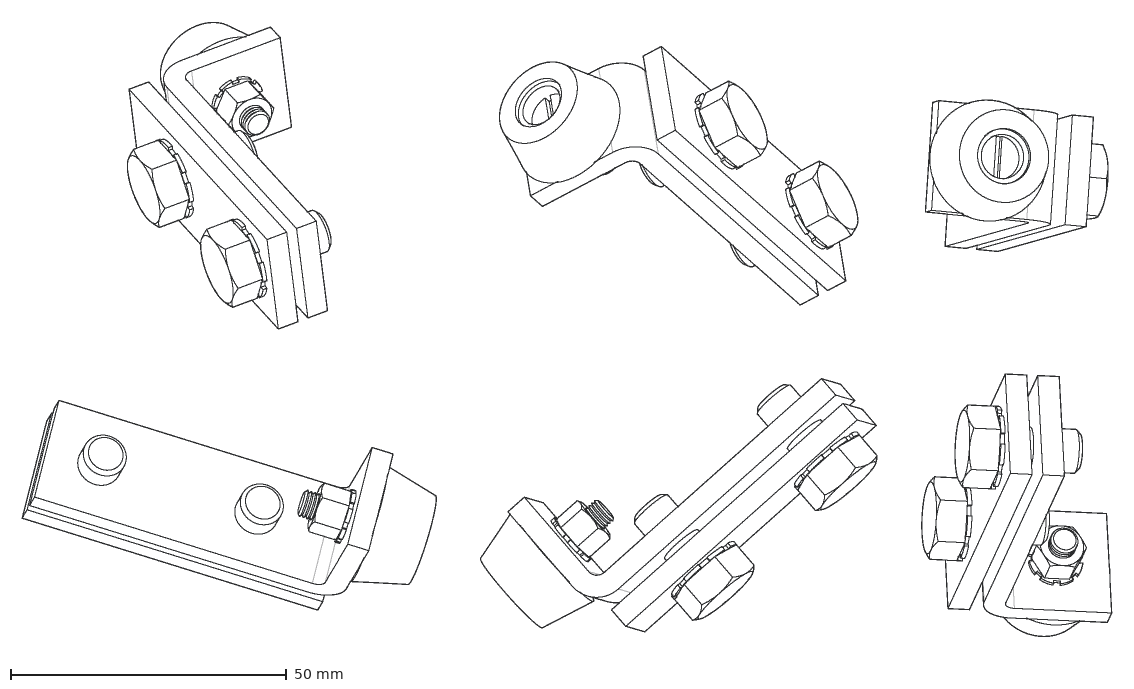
import cadquery as cq
import math

TILT = 13.1

STRIP_WIDTH = 20.05
STRIP_THICKNESS = 4.0
ARM_LENGTH = 59.05
LEG_LENGTH = 24.05
BEND_INNER_RADIUS = 2.0
BEND_OUTER_RADIUS = BEND_INNER_RADIUS + STRIP_THICKNESS
PLATE_GAP = 2.0
PLATE_START = 2.6
PLATE_OUTER_Y = -PLATE_GAP - STRIP_THICKNESS

BOLT_DIAMETER = 8.0
BOLT_PITCH = 30.0
BOLT_END_DISTANCE = 10.0
BOLT_LENGTH = 16.05
BOLT_TIP_CHAMFER = 0.8
BOLT_HEAD_FLATS = 13.0
BOLT_HEAD_HEIGHT = 5.6
BOLT_WASHER_DIAMETER = 15.0
BOLT_WASHER_ROOT_DIAMETER = 13.45
BOLT_NOTCH_WIDTH = 2.0
BOLT_XS = [ARM_LENGTH - BOLT_END_DISTANCE - BOLT_PITCH, ARM_LENGTH - BOLT_END_DISTANCE]

BUMPER_Y = 14.0
BUMPER_LENGTH = 10.2
BUMPER_BASE_DIAMETER = 22.05
BUMPER_TIP_DIAMETER = 16.9
BUMPER_MOUTH_DIAMETER = 10.0
BUMPER_MOUTH_DEPTH = 1.0

SCREW_DIAMETER = 5.0
SCREW_HEAD_DIAMETER = 8.0
SCREW_HEAD_HEIGHT = 3.3
SCREW_HEAD_DEPTH = 4.0
SCREW_END_X = 12.8
SCREW_TIP_CHAMFER = 0.4
SLOT_WIDTH = 1.1
SLOT_DEPTH = 1.3
THREAD_PITCH = 0.7
THREAD_RINGS = 3
THREAD_DEPTH = 0.4
NUT_FLATS = 8.0
NUT_HEIGHT = 5.45
NUT_WASHER_DIAMETER = 10.0
NUT_WASHER_ROOT_DIAMETER = 8.9
NUT_NOTCH_WIDTH = 1.3

WASHER_THICKNESS = 0.8
WASHER_NOTCHES = 8

HEX_CHAMFER_ANGLE = 30.0

SCREW_HEAD_X = SCREW_HEAD_DEPTH - BUMPER_LENGTH
SCREW_SEAT_X = SCREW_HEAD_X + SCREW_HEAD_HEIGHT
NUT_SEAT_X = STRIP_THICKNESS + WASHER_THICKNESS


def bolt_plane(x, y):
    """Plane on a bolt axis, its normal pointing out through the head (-Y)."""
    return cq.Plane(origin=(x, y, 0), xDir=(1, 0, 0), normal=(0, -1, 0))


def screw_plane(x):
    """Plane on the bumper axis, its normal pointing toward the nut (+X)."""
    return cq.Plane(origin=(x, BUMPER_Y, 0), xDir=(0, 1, 0), normal=(1, 0, 0))


def rod(plane, diameter, length):
    return cq.Workplane(plane).circle(diameter / 2).extrude(length)


def placed(body, plane):
    """Move a body built upright at the origin onto a plane."""
    return cq.Workplane(body.val().moved(plane.location))


def hexagon(flats, height):
    """Upright hexagonal prism whose top corners are cut back by a cone."""
    corner_diameter = flats / math.cos(math.radians(30))
    corner_cut = (corner_diameter - flats) / 2
    corner_drop = corner_cut * math.tan(math.radians(HEX_CHAMFER_ANGLE))
    envelope = (
        cq.Workplane("XY")
        .circle(corner_diameter / 2)
        .extrude(height)
        .faces(">Z")
        .chamfer(corner_drop, corner_cut)
    )
    return cq.Workplane("XY").polygon(6, corner_diameter).extrude(height).intersect(envelope)


def toothed_washer(diameter, root_diameter, hole_diameter, notch_width, turn):
    """Upright washer with notches round its rim, the first one turned from local X."""
    washer = cq.Workplane("XY").circle(diameter / 2).circle(hole_diameter / 2).extrude(WASHER_THICKNESS)
    notch_reach = diameter - root_diameter
    for index in range(WASHER_NOTCHES):
        notch = (
            cq.Workplane("XY")
            .center(root_diameter / 2, 0)
            .rect(notch_reach, notch_width, centered=(False, True))
            .extrude(WASHER_THICKNESS)
            .rotate((0, 0, 0), (0, 0, 1), turn + index * 360 / WASHER_NOTCHES)
        )
        washer = washer.cut(notch)
    return washer


def make_bracket():
    bracket = (
        cq.Workplane("XY")
        .moveTo(0, LEG_LENGTH)
        .lineTo(0, BEND_OUTER_RADIUS)
        .radiusArc((BEND_OUTER_RADIUS, 0), -BEND_OUTER_RADIUS)
        .lineTo(ARM_LENGTH, 0)
        .lineTo(ARM_LENGTH, STRIP_THICKNESS)
        .lineTo(BEND_OUTER_RADIUS, STRIP_THICKNESS)
        .radiusArc((STRIP_THICKNESS, BEND_OUTER_RADIUS), BEND_INNER_RADIUS)
        .lineTo(STRIP_THICKNESS, LEG_LENGTH)
        .close()
        .extrude(STRIP_WIDTH / 2, both=True)
    )
    bracket = bracket.cut(rod(screw_plane(0), SCREW_DIAMETER, STRIP_THICKNESS))
    for x in BOLT_XS:
        bracket = bracket.cut(rod(bolt_plane(x, STRIP_THICKNESS), BOLT_DIAMETER, STRIP_THICKNESS))
    return bracket


def make_plate():
    plate = cq.Workplane("XY").box(
        ARM_LENGTH - PLATE_START, STRIP_THICKNESS, STRIP_WIDTH, centered=(False, False, True)
    )
    plate = plate.translate((PLATE_START, PLATE_OUTER_Y, 0))
    for x in BOLT_XS:
        plate = plate.cut(rod(bolt_plane(x, -PLATE_GAP), BOLT_DIAMETER, STRIP_THICKNESS))
    return plate


def make_bolt(x):
    seat_y = PLATE_OUTER_Y - WASHER_THICKNESS
    shank = (
        cq.Workplane("XY")
        .circle(BOLT_DIAMETER / 2)
        .extrude(-BOLT_LENGTH)
        .faces("<Z")
        .chamfer(BOLT_TIP_CHAMFER)
    )
    bolt = hexagon(BOLT_HEAD_FLATS, BOLT_HEAD_HEIGHT).union(shank)
    return placed(bolt, bolt_plane(x, seat_y))


def make_bolt_washer(x):
    washer = toothed_washer(
        BOLT_WASHER_DIAMETER, BOLT_WASHER_ROOT_DIAMETER, BOLT_DIAMETER, BOLT_NOTCH_WIDTH, -TILT
    )
    return placed(washer, bolt_plane(x, PLATE_OUTER_Y))


def make_bumper():
    """Cone revolved about its own axis, with a stepped bore for the screw."""
    return (
        cq.Workplane("XZ", origin=(0, BUMPER_Y, 0))
        .moveTo(-BUMPER_LENGTH, BUMPER_TIP_DIAMETER / 2)
        .lineTo(0, BUMPER_BASE_DIAMETER / 2)
        .lineTo(0, SCREW_DIAMETER / 2)
        .lineTo(SCREW_SEAT_X, SCREW_DIAMETER / 2)
        .lineTo(SCREW_SEAT_X, SCREW_HEAD_DIAMETER / 2)
        .lineTo(BUMPER_MOUTH_DEPTH - BUMPER_LENGTH, SCREW_HEAD_DIAMETER / 2)
        .lineTo(BUMPER_MOUTH_DEPTH - BUMPER_LENGTH, BUMPER_MOUTH_DIAMETER / 2)
        .lineTo(-BUMPER_LENGTH, BUMPER_MOUTH_DIAMETER / 2)
        .close()
        .revolve(360, (0, 0), (1, 0))
    )


def thread_groove(x):
    """V-shaped ring groove, one pitch wide, starting at x on the screw."""
    radius = SCREW_DIAMETER / 2
    return (
        cq.Workplane("XZ", origin=(0, BUMPER_Y, 0))
        .moveTo(x, radius)
        .lineTo(x + THREAD_PITCH / 2, radius - THREAD_DEPTH)
        .lineTo(x + THREAD_PITCH, radius)
        .close()
        .revolve(360, (0, 0), (1, 0))
    )


def make_screw():
    head = rod(screw_plane(SCREW_HEAD_X), SCREW_HEAD_DIAMETER, SCREW_HEAD_HEIGHT)
    slot = (
        cq.Workplane(screw_plane(SCREW_HEAD_X))
        .rect(SLOT_WIDTH, SCREW_HEAD_DIAMETER)
        .extrude(SLOT_DEPTH)
    )
    shank = (
        rod(screw_plane(SCREW_SEAT_X), SCREW_DIAMETER, SCREW_END_X - SCREW_SEAT_X)
        .faces(">X")
        .chamfer(SCREW_TIP_CHAMFER)
    )
    screw = head.cut(slot).union(shank)
    thread_end_x = SCREW_END_X - SCREW_TIP_CHAMFER
    for ring in range(1, THREAD_RINGS + 1):
        screw = screw.cut(thread_groove(thread_end_x - ring * THREAD_PITCH))
    return screw


def make_nut_washer():
    washer = toothed_washer(
        NUT_WASHER_DIAMETER, NUT_WASHER_ROOT_DIAMETER, SCREW_DIAMETER, NUT_NOTCH_WIDTH, 0
    )
    return placed(washer, screw_plane(STRIP_THICKNESS))


def make_nut():
    nut = hexagon(NUT_FLATS, NUT_HEIGHT).cut(rod(cq.Plane.XY(), SCREW_DIAMETER, NUT_HEIGHT))
    return placed(nut, screw_plane(NUT_SEAT_X))


bracket = make_bracket()
plate = make_plate()
bumper = make_bumper()
screw = make_screw()
nut_washer = make_nut_washer()
nut = make_nut()
bolts = [make_bolt(x) for x in BOLT_XS]
bolt_washers = [make_bolt_washer(x) for x in BOLT_XS]

bodies = [bracket, plate, bumper, screw, nut_washer, nut, *bolts, *bolt_washers]
result = cq.Compound.makeCompound([body.val() for body in bodies]).rotate(
    cq.Vector(0, 0, 0), cq.Vector(0, 1, 0), -TILT
)